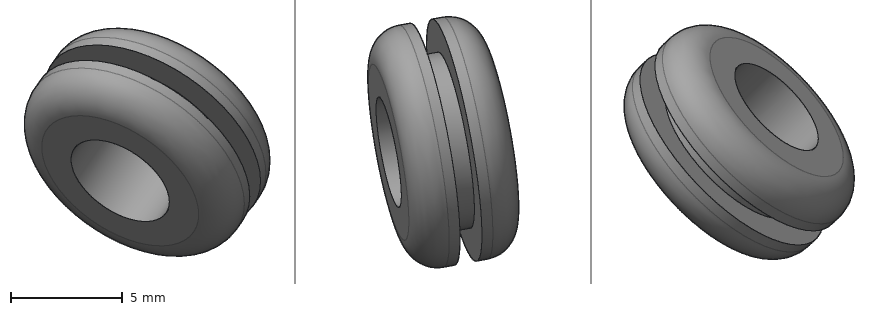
import cadquery as cq

outer_diameter = 11.0
bore_diameter = 5.0
groove_diameter = 8.0
width = 5.0
groove_width = 1.0
rim_radius = (outer_diameter - groove_diameter) / 2


def cylinder_along_y(diameter, length):
    """Cylinder on the Y axis, centred on the origin."""
    start = cq.Workplane("XZ", origin=(0, length / 2, 0))
    return start.circle(diameter / 2).extrude(length)


body = cylinder_along_y(outer_diameter, width).edges("%CIRCLE").fillet(rim_radius)

groove = cylinder_along_y(outer_diameter, groove_width).cut(
    cylinder_along_y(groove_diameter, groove_width)
)

bore = cylinder_along_y(bore_diameter, width)

result = body.cut(groove).cut(bore)